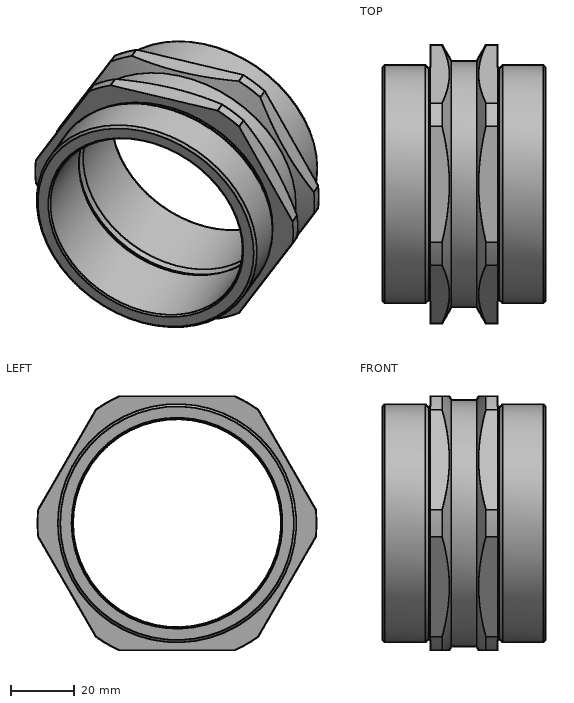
import cadquery as cq

length = 51.5
half_length = length / 2
corner_diameter = 88.0
across_flats = 80.0
hex_turn = 30

corner_radius = corner_diameter / 2
collar_radius = 38.9
thread_radius = 37.6
relief_radius = 36.5
bore_radius = 32.7

end_chamfer = 0.8
thread_length = 13.55
relief_taper = thread_radius - relief_radius
face_to_end = 15.1
hex_rim_width = 3.7
collar_width = 7.9
rim_chamfer = 0.5
groove_width = 3.5
groove_depth = 0.8

hex_face = half_length - face_to_end
hex_rim_inner = hex_face - hex_rim_width
collar_edge = collar_width / 2


def mirrored(points):
    """Reflect (axial, radial) points across the middle, reversing their order."""
    return [(-x, r) for x, r in reversed(points)]


def revolve_about_x(points):
    """Revolve a closed (axial, radial) profile about the X axis."""
    profile = cq.Workplane("XY").polyline(points).close()
    return profile.revolve(360, (0, 0, 0), (1, 0, 0))


def threaded_barrel():
    """Barrel with chamfered ends and a 45-degree V-shaped relief beside each nut."""
    thread_end = half_length - thread_length
    relief_bottom = thread_end - relief_taper
    right_half = [
        (hex_face, relief_radius + relief_bottom - hex_face),
        (relief_bottom, relief_radius),
        (thread_end, thread_radius),
        (half_length - end_chamfer, thread_radius),
        (half_length, thread_radius - end_chamfer),
        (half_length, 0),
    ]
    left_half = mirrored(right_half)
    return revolve_about_x(left_half + right_half)


def hex_nuts():
    """Two hexagons with turned corners and horizontal top flats, tapering to a collar."""
    right_half = [
        (collar_edge, collar_radius),
        (hex_rim_inner, corner_radius),
        (hex_face, corner_radius),
        (hex_face, 0),
    ]
    left_half = mirrored(right_half)
    turned = revolve_about_x(left_half + right_half)
    hexagon = (
        cq.Workplane("YZ")
        .polygon(6, across_flats, circumscribed=True)
        .extrude(hex_face, both=True)
        .rotate((0, 0, 0), (1, 0, 0), hex_turn)
    )
    return turned.intersect(hexagon)


def bore():
    """Through bore with chamfered rims and a V-groove around its middle."""
    right_half = [
        (groove_width / 2, bore_radius),
        (half_length - rim_chamfer, bore_radius),
        (half_length, bore_radius + rim_chamfer),
        (half_length, 0),
    ]
    left_half = mirrored(right_half)
    groove_bottom = [(0, bore_radius + groove_depth)]
    return revolve_about_x(left_half + groove_bottom + right_half)


result = threaded_barrel().union(hex_nuts()).cut(bore())